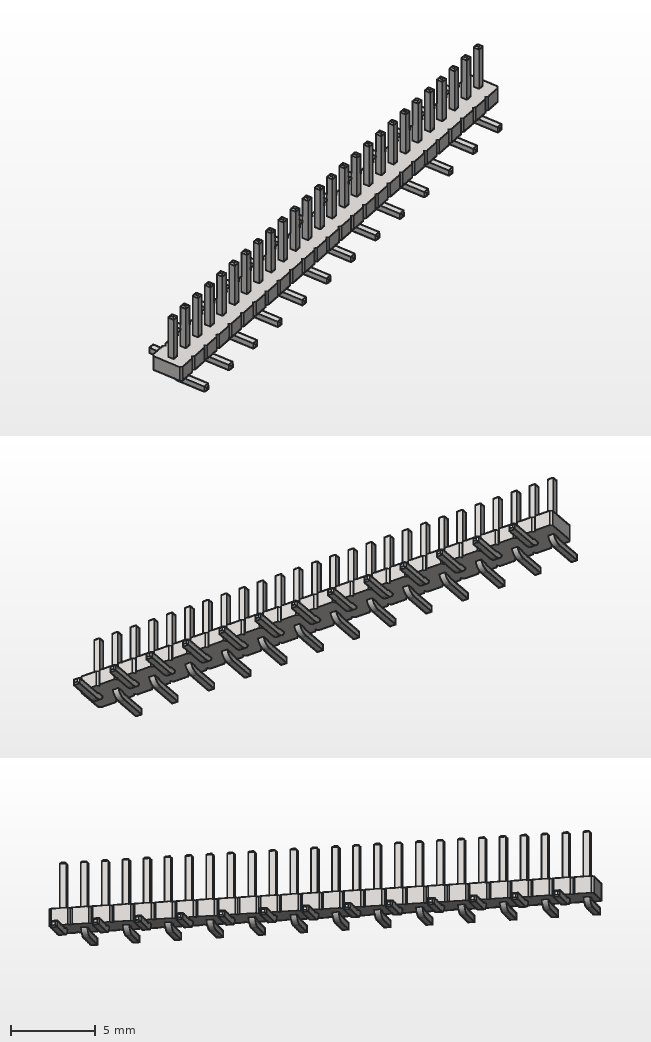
import cadquery as cq

length = 33.02
foot_span = 5.0
height = 4.5

pin_count = 26
pitch = length / pin_count
body_width = 2.1
body_bottom = 0.45
body_top = 1.5
segment_chamfer = 0.13

pin_size = 0.4
tip_chamfer = 0.1
bend_inner_radius = 0.33
bend_outer_radius = bend_inner_radius + pin_size


def segment(y):
    """One strip segment with chamfered vertical edges, which form the break notches."""
    return (
        cq.Workplane("XY", origin=(0, y, body_bottom))
        .rect(body_width, pitch)
        .extrude(body_top - body_bottom)
        .edges("|Z")
        .chamfer(segment_chamfer)
    )


def bent_pin():
    """Upright pin that bends into a horizontal foot pointing along +X."""
    half = pin_size / 2
    profile = (
        cq.Workplane("XZ", origin=(0, half, 0))
        .moveTo(-half, height)
        .lineTo(-half, bend_outer_radius)
        .radiusArc((bend_outer_radius - half, 0), -bend_outer_radius)
        .lineTo(foot_span / 2, 0)
        .lineTo(foot_span / 2, pin_size)
        .lineTo(half + bend_inner_radius, pin_size)
        .radiusArc((half, bend_outer_radius), bend_inner_radius)
        .lineTo(half, height)
        .close()
    )
    pin = profile.extrude(pin_size)
    return pin.faces(">Z or >X").edges().chamfer(tip_chamfer)


right_pin = bent_pin()
left_pin = right_pin.rotate((0, 0, 0), (0, 0, 1), 180)

pieces = []
for index in range(pin_count):
    y = (index + 0.5) * pitch - length / 2
    pin = right_pin if index % 2 == 0 else left_pin
    pieces.append(segment(y).val())
    pieces.append(pin.translate((0, y, 0)).val())

header = pieces[0].fuse(*pieces[1:]).clean()
result = cq.Workplane("XY").newObject(header.Solids())